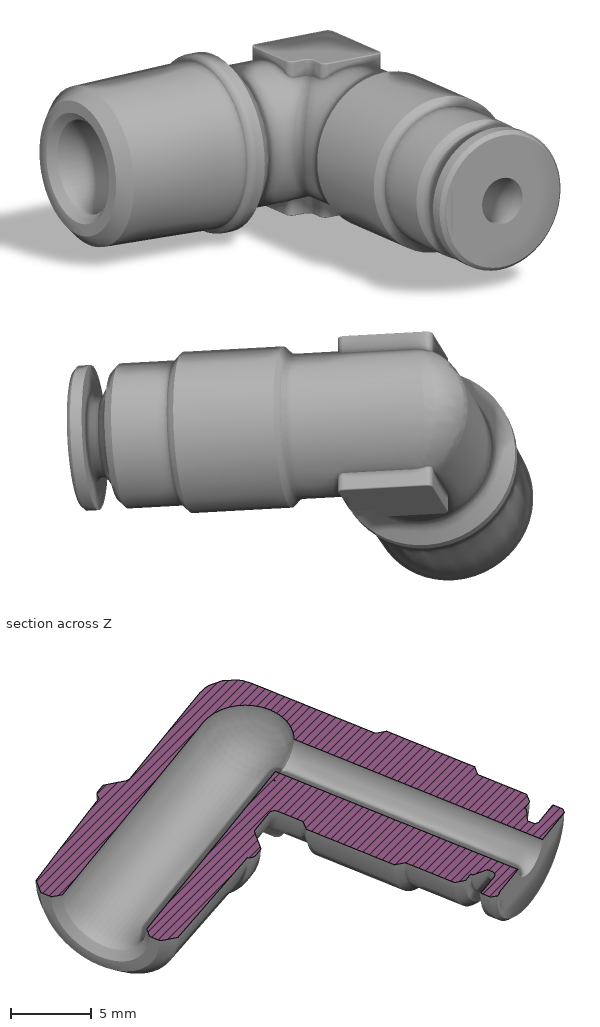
import cadquery as cq
import math


tube_radius = 4.5
outer_bend_radius = 2.35
inner_bend_radius = 0.4
neck_fillet = 0.4

stem_length = 18.0
stem_collar_radius = 5.65
stem_collar_start = 7.86
stem_collar_end = 9.0
stem_cone_start = stem_collar_start - (stem_collar_radius - tube_radius)
stem_collar_round = 0.5
thread_end_radius = 5.07
thread_taper = 1 / 36
thread_chamfer = 0.8

branch_collar_radius = 5.0
branch_collar_start = 7.2
branch_collar_end = 13.5
branch_collar_rise = branch_collar_radius - tube_radius
branch_cone_start = branch_collar_start - branch_collar_rise
branch_body_end = 18.0
branch_chamfer = 0.5

shoulder_radius = 3.35
shoulder_end = 18.15
ring_neck_radius = 2.5
ring_neck_start = 18.7
ring_root_fillet = 0.3
flange_start = 19.35
flange_end = 20.33
flange_radius = tube_radius
flange_chamfer = 0.25

segment_height = 0.06
segment_chord = -3.87

pad_near = 2.25
pad_far = 3.7
pad_notch = 2.2
pad_top = 5.0
pad_corner_radius = 0.4
pad_edge_fillet = 0.08

stem_bore_radius = 3.0
stem_bore_chamfer = 0.5
branch_bore_radius = 1.5


def make_elbow():
    """Two equal tubes that meet in a mitre."""
    path = cq.Workplane("XY").moveTo(0, -stem_cone_start).lineTo(0, 0).lineTo(branch_cone_start, 0)
    section = cq.Workplane("XZ", origin=(0, -stem_cone_start, 0)).circle(tube_radius)
    return section.sweep(path, transition="right")


def make_pads():
    """One block with a notched corner; its two ends are the upper and the lower pad."""
    block = (
        cq.Workplane("XY", origin=(0, 0, -pad_top))
        .moveTo(-pad_near, pad_near)
        .lineTo(pad_far, pad_near)
        .lineTo(pad_far, -pad_notch)
        .lineTo(pad_notch, -pad_notch)
        .lineTo(pad_notch, -pad_far)
        .lineTo(-pad_near, -pad_far)
        .close()
        .extrude(2 * pad_top)
    )
    block = block.edges("|Z").fillet(pad_corner_radius)
    return block.faces("|Z").edges().fillet(pad_edge_fillet)


def round_bend(body):
    """Round the mitre edges, which the pads split into an outer and an inner pair."""
    body = body.edges("%ELLIPSE").edges("<X").fillet(outer_bend_radius)
    return body.edges("%ELLIPSE").edges(">X").fillet(inner_bend_radius)


def make_stem():
    """Collar and tapered thread body, turned about the Y axis."""
    round_start = stem_collar_end - stem_collar_round
    thread_end = stem_length - thread_chamfer
    thread_start_radius = thread_end_radius + thread_taper * (thread_end - stem_collar_end)
    stem = (
        cq.Workplane("XY")
        .moveTo(0, -stem_cone_start)
        .lineTo(tube_radius, -stem_cone_start)
        .lineTo(stem_collar_radius, -stem_collar_start)
        .lineTo(stem_collar_radius, -stem_collar_end)
        .lineTo(0, -stem_collar_end)
        .close()
        .revolve(360, (0, 0), (0, 1))
    )
    stem = stem.faces("<Y").edges().fillet(stem_collar_round)
    thread = (
        cq.Workplane("XY")
        .moveTo(0, -round_start)
        .lineTo(thread_start_radius, -round_start)
        .lineTo(thread_start_radius, -stem_collar_end)
        .lineTo(thread_end_radius, -thread_end)
        .lineTo(thread_end_radius - thread_chamfer, -stem_length)
        .lineTo(0, -stem_length)
        .close()
        .revolve(360, (0, 0), (0, 1))
    )
    return stem.union(thread)


def make_branch():
    """Collar, body and release ring, turned about the X axis."""
    root_start = flange_start - ring_root_fillet
    root_middle = ring_root_fillet * math.sqrt(0.5)
    return (
        cq.Workplane("XY")
        .moveTo(branch_cone_start, 0)
        .lineTo(branch_cone_start, tube_radius)
        .lineTo(branch_collar_start, branch_collar_radius)
        .lineTo(branch_collar_end, branch_collar_radius)
        .lineTo(branch_collar_end + branch_collar_rise, tube_radius)
        .lineTo(branch_body_end - branch_chamfer, tube_radius)
        .lineTo(branch_body_end, tube_radius - branch_chamfer)
        .lineTo(branch_body_end, shoulder_radius)
        .lineTo(shoulder_end, shoulder_radius)
        .lineTo(ring_neck_start, ring_neck_radius)
        .lineTo(root_start, ring_neck_radius)
        .threePointArc(
            (root_start + root_middle, ring_neck_radius + ring_root_fillet - root_middle),
            (flange_start, ring_neck_radius + ring_root_fillet),
        )
        .lineTo(flange_start, flange_radius)
        .lineTo(flange_end - flange_chamfer, flange_radius)
        .lineTo(flange_end, flange_radius - flange_chamfer)
        .lineTo(flange_end, 0)
        .close()
        .revolve(360, (0, 0), (1, 0))
    )


def make_segment():
    """Raised circle segment on the flange face, between its rim and a chord."""
    face_radius = flange_radius - flange_chamfer
    half_chord = math.sqrt(face_radius**2 - segment_chord**2)
    return (
        cq.Workplane("YZ", origin=(flange_end, 0, 0))
        .moveTo(segment_chord, half_chord)
        .threePointArc((-face_radius, 0), (segment_chord, -half_chord))
        .close()
        .extrude(segment_height)
    )


def round_necks(body):
    """Fillet the tube into the cone of each collar."""
    half_depth = 0.1
    stem_slice = cq.selectors.BoxSelector(
        (-tube_radius, -stem_cone_start - half_depth, -tube_radius),
        (tube_radius, -stem_cone_start + half_depth, tube_radius),
    )
    branch_slice = cq.selectors.BoxSelector(
        (branch_cone_start - half_depth, -tube_radius, -tube_radius),
        (branch_cone_start + half_depth, tube_radius, tube_radius),
    )
    for neck_slice in (stem_slice, branch_slice):
        body = body.edges("%CIRCLE").edges(neck_slice).fillet(neck_fillet)
    return body


def make_bores():
    """Stem bore with a ball end, a chamfered mouth, and the narrower branch bore."""
    stem_bore = (
        cq.Workplane("XY")
        .moveTo(0, -stem_length)
        .lineTo(stem_bore_radius + stem_bore_chamfer, -stem_length)
        .lineTo(stem_bore_radius, -stem_length + stem_bore_chamfer)
        .lineTo(stem_bore_radius, 0)
        .radiusArc((0, stem_bore_radius), -stem_bore_radius)
        .close()
        .revolve(360, (0, 0), (0, 1))
    )
    branch_bore = cq.Workplane("YZ").circle(branch_bore_radius).extrude(flange_end)
    return stem_bore.union(branch_bore)


body = round_bend(make_elbow().union(make_pads()))
body = round_necks(body.union(make_stem()).union(make_branch()))
result = body.union(make_segment()).cut(make_bores())